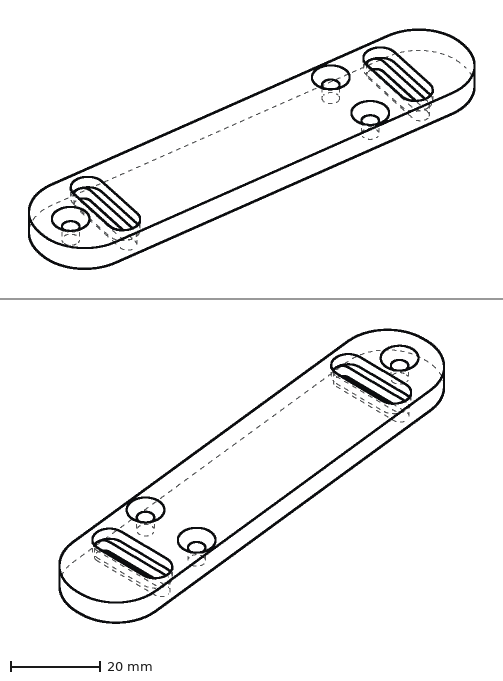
import cadquery as cq

LENGTH = 116.0
WIDTH = 24.9
THICKNESS = 6.0
CORNER_RADIUS = 12.0

SLOT_LENGTH = 21.5
SLOT_WIDTH = 4.1
RECESS_WIDTH = 7.7
RECESS_DEPTH = THICKNESS / 2
SLOT_OFFSET = 40.0

HOLE_DIAMETER = 4.0
COUNTERSINK_DIAMETER = 8.5
COUNTERSINK_ANGLE = 90.0
PAIR_SPACING = 15.4
PAIR_Y = 27.0
SINGLE_HOLE_Y = -49.5


def make_plate():
    """Flat plate on Z = 0, its ends rounded to a short flat at the tips."""
    plate = cq.Workplane("XY").box(WIDTH, LENGTH, THICKNESS, centered=(True, True, False))
    return plate.edges("|Z").fillet(CORNER_RADIUS)


def cut_stepped_slots(body):
    """Cut each through slot and the wider recess of equal length above it."""
    centres = [(0, SLOT_OFFSET), (0, -SLOT_OFFSET)]
    top = body.faces(">Z").workplane(origin=(0, 0, THICKNESS))
    body = top.pushPoints(centres).slot2D(SLOT_LENGTH, SLOT_WIDTH).cutThruAll()
    top = body.faces(">Z").workplane(origin=(0, 0, THICKNESS))
    return top.pushPoints(centres).slot2D(SLOT_LENGTH, RECESS_WIDTH).cutBlind(-RECESS_DEPTH)


def cut_screw_holes(body):
    """Drill a pair of holes near one end and a single hole near the other."""
    centres = [
        (-PAIR_SPACING / 2, PAIR_Y),
        (PAIR_SPACING / 2, PAIR_Y),
        (0, SINGLE_HOLE_Y),
    ]
    top = body.faces(">Z").workplane(origin=(0, 0, THICKNESS))
    return top.pushPoints(centres).cskHole(HOLE_DIAMETER, COUNTERSINK_DIAMETER, COUNTERSINK_ANGLE)


result = cut_screw_holes(cut_stepped_slots(make_plate()))